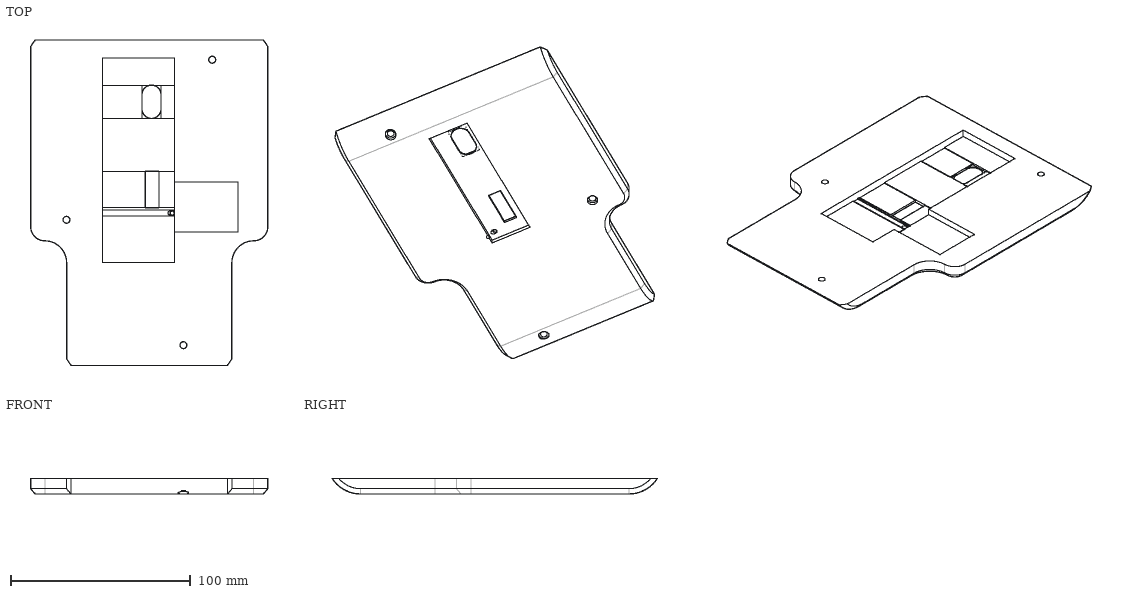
import cadquery as cq
import math

WIDTH = 132.0
LENGTH = 181.0
THICKNESS = 8.75
NARROW_WIDTH = 92.0

SHOULDER_Y = -21.25
CONVEX_RADIUS = 8.0
CONCAVE_RADIUS = (WIDTH - NARROW_WIDTH) / 2 - CONVEX_RADIUS

END_ARC_RUN = 16.0
END_ARC_RADIUS = (END_ARC_RUN**2 + THICKNESS**2) / (2 * THICKNESS)
CHAMFER_HEIGHT = 3.0
CHAMFER_WIDTH = 2.5

POCKET_X = (-26.0, 14.0)
POCKET_Y = (-33.2, 80.4)
POCKET_FLOOR = 4.5

SIDE_POCKET_X = (POCKET_X[1], 49.4)
SIDE_POCKET_Y = (-16.2, 11.4)
SIDE_POCKET_FLOOR = 5.0

REAR_CHANNEL_Y = (46.9, 65.3)
FRONT_CHANNEL_Y = (-2.7, 17.4)
CHANNEL_FLOOR = 4.1
WIRE_GROOVE_Y = (-7.5, -4.0)
WIRE_GROOVE_FLOOR = 4.0

ROUND_SLOT_X = (-4.0, 6.5)
ROUND_SLOT_FLOOR = 3.4
PLAIN_SLOT_X = (-2.1, 5.3)

UNDER_RECESS_DEPTH = 2.75

WIRE_HOLE_DIAMETER = 2.5
WIRE_HOLE_TILT = 45.0
WIRE_HOLE_GAP = 0.1

SCREW_POSITIONS = [(35.0, 79.5), (-46.0, -9.5), (19.0, -79.2)]
SCREW_DIAMETER = 3.7
HEAD_DIAMETER = 5.8
HEAD_DEPTH = 2.0


def box_between(x_range, y_range, z_range):
    """Axis-aligned box filling the given ranges."""
    size = [high - low for low, high in (x_range, y_range, z_range)]
    corner = (x_range[0], y_range[0], z_range[0])
    return cq.Workplane("XY").box(*size, centered=False).translate(corner)


def plan_body():
    """Extruded outline: wide body, two shoulders and narrow tail."""
    half_width = WIDTH / 2
    half_narrow = NARROW_WIDTH / 2
    half_length = LENGTH / 2
    join_x = half_width - CONVEX_RADIUS
    convex_top = SHOULDER_Y + CONVEX_RADIUS
    concave_bottom = SHOULDER_Y - CONCAVE_RADIUS
    return (
        cq.Workplane("XY")
        .moveTo(-half_narrow, -half_length)
        .lineTo(half_narrow, -half_length)
        .lineTo(half_narrow, concave_bottom)
        .radiusArc((join_x, SHOULDER_Y), CONCAVE_RADIUS)
        .radiusArc((half_width, convex_top), -CONVEX_RADIUS)
        .lineTo(half_width, half_length)
        .lineTo(-half_width, half_length)
        .lineTo(-half_width, convex_top)
        .radiusArc((-join_x, SHOULDER_Y), -CONVEX_RADIUS)
        .radiusArc((-half_narrow, concave_bottom), CONCAVE_RADIUS)
        .close()
        .extrude(THICKNESS)
    )


def end_profile():
    """Side profile: each end sweeps up from the flat underside in a tangent arc."""
    half_length = LENGTH / 2
    half_flat = half_length - END_ARC_RUN
    return (
        cq.Workplane("YZ")
        .moveTo(-half_length, THICKNESS)
        .radiusArc((-half_flat, 0), -END_ARC_RADIUS)
        .lineTo(half_flat, 0)
        .radiusArc((half_length, THICKNESS), -END_ARC_RADIUS)
        .close()
        .extrude(WIDTH / 2, both=True)
    )


def outer_body():
    """Plate with rounded ends and a chamfer all along its lower side edges."""
    body = plan_body().intersect(end_profile())
    return body.faces("<Z").edges("<X or >X").chamfer(CHAMFER_HEIGHT, CHAMFER_WIDTH)


def cut_recesses(body):
    """Cut the pockets, the floor channels and the openings below them."""
    recesses = [
        (POCKET_X, POCKET_Y, POCKET_FLOOR),
        (SIDE_POCKET_X, SIDE_POCKET_Y, SIDE_POCKET_FLOOR),
        (POCKET_X, REAR_CHANNEL_Y, CHANNEL_FLOOR),
        (POCKET_X, FRONT_CHANNEL_Y, CHANNEL_FLOOR),
        (POCKET_X, WIRE_GROOVE_Y, WIRE_GROOVE_FLOOR),
        (ROUND_SLOT_X, REAR_CHANNEL_Y, ROUND_SLOT_FLOOR),
        (PLAIN_SLOT_X, FRONT_CHANNEL_Y, 0),
    ]
    for x_range, y_range, floor in recesses:
        body = body.cut(box_between(x_range, y_range, (floor, THICKNESS)))
    return body


def cut_round_slot(body):
    """Cut the round-ended opening through the floor of its recess."""
    slot_length = REAR_CHANNEL_Y[1] - REAR_CHANNEL_Y[0]
    slot_width = ROUND_SLOT_X[1] - ROUND_SLOT_X[0]
    slot = (
        cq.Workplane("XY")
        .center(sum(ROUND_SLOT_X) / 2, sum(REAR_CHANNEL_Y) / 2)
        .slot2D(slot_length, slot_width, 90)
        .extrude(THICKNESS)
    )
    return body.cut(slot)


def cut_under_recess(body):
    """Thin the floor from below around both openings and the wire hole."""
    margin = UNDER_RECESS_DEPTH
    recess_x = (ROUND_SLOT_X[0] - margin, POCKET_X[1] + margin)
    recess_y = (WIRE_GROOVE_Y[0] - margin, REAR_CHANNEL_Y[1] + margin)
    return body.cut(box_between(recess_x, recess_y, (0, UNDER_RECESS_DEPTH)))


def cut_wire_hole(body):
    """Cut the slanted wire hole at the +X end of the wire groove."""
    tilt = math.radians(WIRE_HOLE_TILT)
    radius = WIRE_HOLE_DIAMETER / 2
    mouth = cq.Vector(
        POCKET_X[1] - WIRE_HOLE_GAP - radius / math.cos(tilt),
        sum(WIRE_GROOVE_Y) / 2,
        WIRE_GROOVE_FLOOR,
    )
    down = cq.Vector(math.sin(tilt), 0, -math.cos(tilt))
    start = mouth - down * WIRE_HOLE_DIAMETER
    hole = cq.Solid.makeCylinder(radius, 2 * THICKNESS, start, down)
    return body.cut(cq.Workplane(obj=hole))


def cut_screw_holes(body):
    """Cut the through holes and their counterbores in the underside."""
    screws = cq.Workplane("XY").pushPoints(SCREW_POSITIONS)
    body = body.cut(screws.circle(SCREW_DIAMETER / 2).extrude(THICKNESS))
    return body.cut(screws.circle(HEAD_DIAMETER / 2).extrude(HEAD_DEPTH))


plate = outer_body()
plate = cut_recesses(plate)
plate = cut_round_slot(plate)
plate = cut_under_recess(plate)
plate = cut_wire_hole(plate)
result = cut_screw_holes(plate)